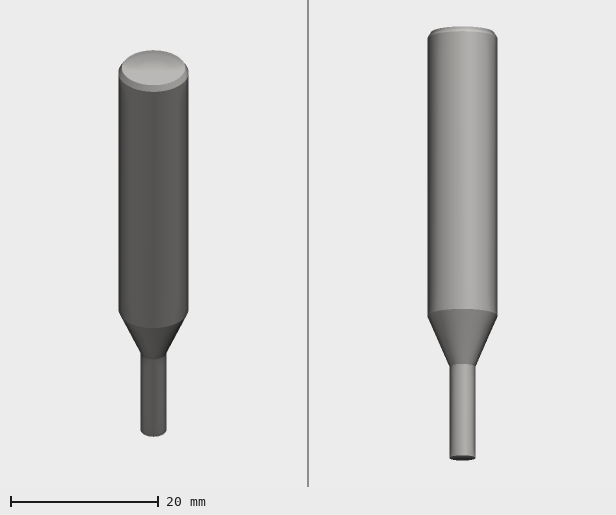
import cadquery as cq

total_length = 58.7
shank_diameter = 9.5
shank_chamfer_height = 0.75
shank_chamfer_width = 0.45
neck_diameter = 3.5
cutter_diameter = 3.5
cutter_length = 11.1
neck_length = 1.5
taper_length = 7.0

shank_radius = shank_diameter / 2
neck_radius = neck_diameter / 2
taper_start = cutter_length + neck_length
taper_end = taper_start + taper_length


def make_shank():
    """Turned shank: short neck, taper, cylinder and chamfered top end."""
    return (
        cq.Workplane("XZ")
        .moveTo(0, cutter_length)
        .lineTo(neck_radius, cutter_length)
        .lineTo(neck_radius, taper_start)
        .lineTo(shank_radius, taper_end)
        .lineTo(shank_radius, total_length - shank_chamfer_height)
        .lineTo(shank_radius - shank_chamfer_width, total_length)
        .lineTo(0, total_length)
        .close()
        .revolve(360, (0, 0, 0), (0, 1, 0))
    )


def make_cutter():
    """Plain cylindrical cutting end, butted against the neck."""
    return cq.Workplane("XY").circle(cutter_diameter / 2).extrude(cutter_length)


shank = make_shank()
cutter = make_cutter()

result = cq.Compound.makeCompound([shank.val(), cutter.val()])